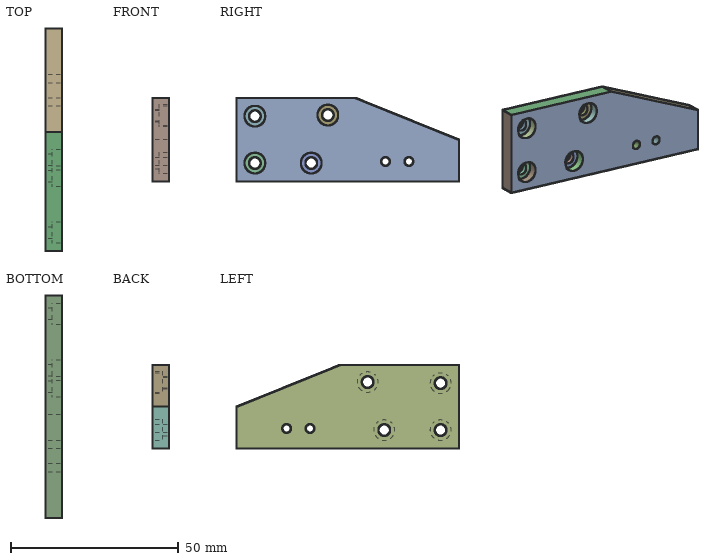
import cadquery as cq

thickness = 5.0
length = 66.53
height = 25.0

top_edge_length = 35.6
far_end_height = height / 2

large_hole_diameter = 3.4
end_margin = 5.53
lower_hole_z = 5.53
end_upper_hole_z = 19.55
inner_lower_hole_y = 22.36
inner_upper_hole_y = 27.32
inner_upper_hole_z = 19.87
counterbore_diameter = 6.2
counterbore_depth = 3.0
large_hole_centers = [
    (end_margin, lower_hole_z),
    (end_margin, end_upper_hole_z),
    (inner_lower_hole_y, lower_hole_z),
    (inner_upper_hole_y, inner_upper_hole_z),
]

small_hole_diameter = 2.5
small_hole_spacing = 7.0
small_hole_z = 6.0
small_hole_far_end_margin = 15.0
outer_small_hole_y = length - small_hole_far_end_margin
small_hole_centers = [
    (outer_small_hole_y, small_hole_z),
    (outer_small_hole_y - small_hole_spacing, small_hole_z),
]


def make_plate():
    """Rectangular plate with one upper corner cut off at a slope."""
    outline = [
        (0, 0),
        (length, 0),
        (length, far_end_height),
        (top_edge_length, height),
        (0, height),
    ]
    return cq.Workplane("YZ").polyline(outline).close().extrude(thickness)


def make_cutters(centers, diameter, start_x=0.0):
    """Cylinders at the given (Y, Z) centers, from start_x out to the +X face."""
    base = cq.Workplane("YZ").workplane(offset=start_x)
    return base.pushPoints(centers).circle(diameter / 2).extrude(thickness - start_x)


counterbore_floor_x = thickness - counterbore_depth

result = (
    make_plate()
    .cut(make_cutters(large_hole_centers, large_hole_diameter))
    .cut(make_cutters(large_hole_centers, counterbore_diameter, counterbore_floor_x))
    .cut(make_cutters(small_hole_centers, small_hole_diameter))
)